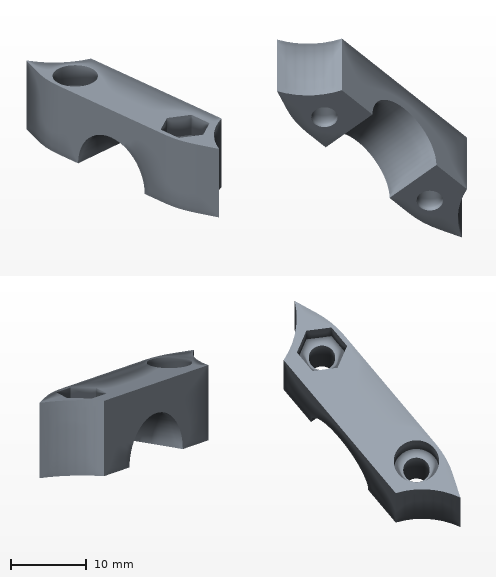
import cadquery as cq
import math

length = 35.61
depth = 8.5
height = 10.25

rear_half_width = 12.05
front_half_width = 9.85
tip_y = 2.15
front_bend_radius = 13.1
front_bend_angle = math.radians(22.1)
end_sagitta = 0.84

tunnel_radius = 6.15

screw_x = 10.15
screw_y = 3.55
screw_hole_diameter = 3.5
head_diameter = 6.0
nut_across_flats = 5.8
nut_across_corners = nut_across_flats / math.cos(math.pi / 6)
seat_depth = 3.0


def make_body():
    """Extrude the symmetric plan outline with hollow ends and pointed tips."""
    tip_x = length / 2

    def bend_point(angle):
        x = front_half_width + front_bend_radius * math.sin(angle)
        y = front_bend_radius * (1 - math.cos(angle))
        return x, y

    bend_mid = bend_point(front_bend_angle / 2)
    bend_end = bend_point(front_bend_angle)

    run_x = tip_x - rear_half_width
    run_y = depth - tip_y
    chord = math.hypot(run_x, run_y)
    hollow_mid = (
        (tip_x + rear_half_width) / 2 - end_sagitta * run_y / chord,
        (depth + tip_y) / 2 - end_sagitta * run_x / chord,
    )

    def mirrored(point):
        return -point[0], point[1]

    outline = (
        cq.Workplane("XY")
        .moveTo(-front_half_width, 0)
        .lineTo(front_half_width, 0)
        .threePointArc(bend_mid, bend_end)
        .lineTo(tip_x, tip_y)
        .threePointArc(hollow_mid, (rear_half_width, depth))
        .lineTo(-rear_half_width, depth)
        .threePointArc(mirrored(hollow_mid), (-tip_x, tip_y))
        .lineTo(*mirrored(bend_end))
        .threePointArc(mirrored(bend_mid), (-front_half_width, 0))
        .close()
    )
    return outline.extrude(height)


def cut_tunnel(body):
    """Cut the half-round tunnel that runs from front to rear."""
    tunnel = cq.Workplane("XZ").circle(tunnel_radius).extrude(-depth)
    return body.cut(tunnel)


def cut_fastener_seats(body):
    """Cut two through holes, a round head seat on -X and a hex nut seat on +X."""
    top = cq.Workplane("XY").workplane(offset=height)
    head_center = (-screw_x, screw_y)
    nut_center = (screw_x, screw_y)
    holes = top.pushPoints([head_center, nut_center]).circle(screw_hole_diameter / 2).extrude(-height)
    head_seat = top.center(*head_center).circle(head_diameter / 2).extrude(-seat_depth)
    nut_seat = top.center(*nut_center).polygon(6, nut_across_corners).extrude(-seat_depth)
    return body.cut(holes).cut(head_seat).cut(nut_seat)


result = cut_fastener_seats(cut_tunnel(make_body()))